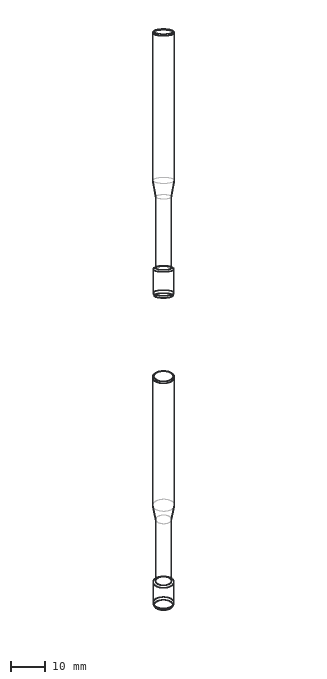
import cadquery as cq

total_length = 80.0

head_radius = 3.0
head_length = 8.0
tip_bevel_height = 0.8
tip_bevel_width = 0.3

neck_radius = 2.3
shoulder_rise = 0.4
neck_bottom = head_length + shoulder_rise
shank_radius = 3.2
shank_bottom = 35.0
cone_length = 5.0
neck_top = shank_bottom - cone_length
shank_chamfer = 0.4


def revolve_outline(outline):
    """Turn an open outline in the XZ plane, closed along the Z axis, into a solid."""
    return outline.close().revolve(360, (0, 0, 0), (0, 1, 0))


def make_head():
    """Head with its bevelled tip and shallow shoulder cone that meets the neck."""
    outline = (
        cq.Workplane("XZ")
        .lineTo(head_radius - tip_bevel_width, 0)
        .lineTo(head_radius, tip_bevel_height)
        .lineTo(head_radius, head_length)
        .lineTo(neck_radius, neck_bottom)
        .lineTo(0, neck_bottom)
    )
    return revolve_outline(outline)


def make_shank():
    """Neck resting on the head, a cone, and the chamfered shank."""
    outline = (
        cq.Workplane("XZ")
        .moveTo(0, neck_bottom)
        .lineTo(neck_radius, neck_bottom)
        .lineTo(neck_radius, neck_top)
        .lineTo(shank_radius, shank_bottom)
        .lineTo(shank_radius, total_length - shank_chamfer)
        .lineTo(shank_radius - shank_chamfer, total_length)
        .lineTo(0, total_length)
    )
    return revolve_outline(outline)


head = make_head()
shank = make_shank()

result = cq.Compound.makeCompound([head.val(), shank.val()])